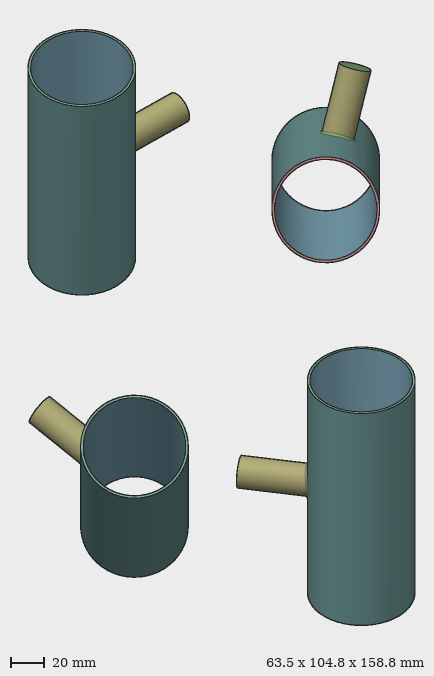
import cadquery as cq

tube_length = 158.8
tube_diameter = 63.5
tube_wall = 1.6

branch_diameter = 19.5
branch_reach = 73.0
joint_fillet = 1.5

tube_radius = tube_diameter / 2
bore_radius = tube_radius - tube_wall
branch_radius = branch_diameter / 2
branch_height = tube_length / 2


def cylinder_along_z(radius):
    return cq.Workplane("XY").circle(radius).extrude(tube_length)


def branch():
    start = cq.Workplane("XZ", origin=(0, 0, branch_height))
    return start.circle(branch_radius).extrude(-branch_reach)


def round_joint(body):
    """Fillet the saddle-shaped edge where the branch meets the tube."""
    low_corner = (-branch_radius, bore_radius, branch_height - branch_radius)
    high_corner = (branch_radius, tube_radius + tube_wall, branch_height + branch_radius)
    joint_zone = cq.selectors.BoxSelector(low_corner, high_corner)
    return body.edges(joint_zone).edges("not %LINE").fillet(joint_fillet)


joined = cylinder_along_z(tube_radius).union(branch()).cut(cylinder_along_z(bore_radius))
result = round_joint(joined)